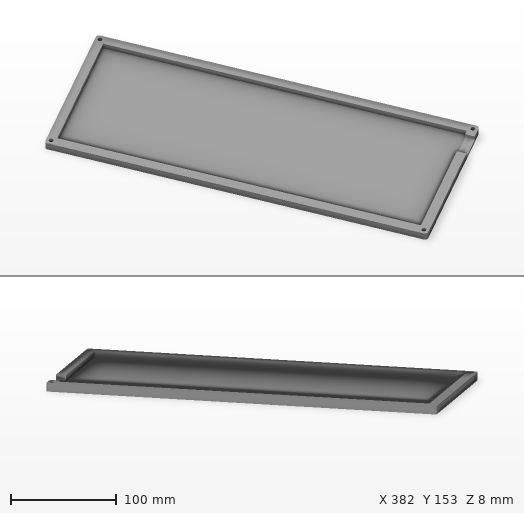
import cadquery as cq

length = 382.0
width = 153.0
height = 8.0
rail_width = 9.5
corner_radius = 3.0
hole_diameter = 4.5
hole_inset = 5.0

panel_thickness = 2.0

notch_center_inset = 26.5
notch_length = 24.0
notch_floor = 3.0
notch_round_radius = 2.0

window_length = length - 2 * rail_width
window_width = width - 2 * rail_width


def make_window():
    return cq.Workplane("XY").rect(window_length, window_width).extrude(height)


def make_screw_holes():
    return (
        cq.Workplane("XY")
        .rect(length - 2 * hole_inset, width - 2 * hole_inset, forConstruction=True)
        .vertices()
        .circle(hole_diameter / 2)
        .extrude(height)
    )


def make_notch():
    """Cutter for the rail notch; both ends meet the floor in a round."""
    min_y = width / 2 - notch_center_inset - notch_length / 2
    return (
        cq.Workplane("XY")
        .box(rail_width, notch_length, height - notch_floor, centered=False)
        .translate((length / 2 - rail_width, min_y, notch_floor))
        .edges("(>Y or <Y) and <Z")
        .fillet(notch_round_radius)
    )


def make_frame():
    blank = (
        cq.Workplane("XY")
        .box(length, width, height, centered=(True, True, False))
        .edges("|Z")
        .fillet(corner_radius)
    )
    return blank.cut(make_window()).cut(make_screw_holes()).cut(make_notch())


def make_panel():
    return cq.Workplane("XY").rect(window_length, window_width).extrude(panel_thickness)


frame = make_frame()
panel = make_panel()

result = cq.Compound.makeCompound([frame.val(), panel.val()])